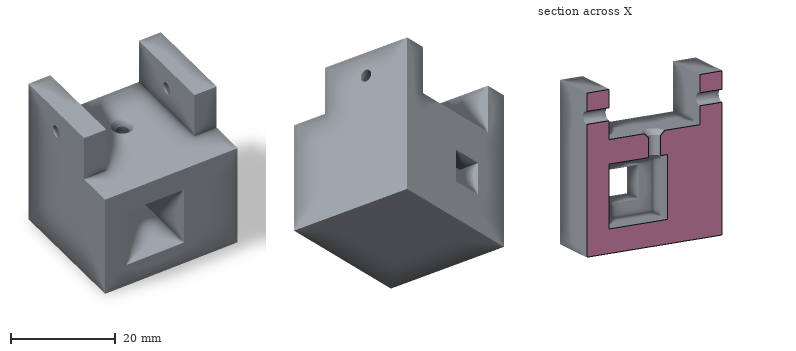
import cadquery as cq

length = 27.5
width = 30.0
overall_height = 32.84

arm_length = 20.0
arm_thickness = 5.0
arm_height = 10.0
block_height = overall_height - arm_height

bore_diameter = 2.5
pin_x = arm_length / 2
pin_z = overall_height - arm_height / 2

mouth_wall = 8.0
mouth_size = block_height - 2 * mouth_wall
mouth_depth = 4.5
pocket_wall = 5.0
pocket_size = block_height - 2 * pocket_wall
passage_y = -width / 2 + mouth_wall + mouth_size / 2
passage_z = block_height / 2

screw_x = arm_length / 2
screw_y = 0.0
countersink_diameter = 4.5
countersink_depth = (countersink_diameter - bore_diameter) / 2


def corner_box(size_x, size_y, size_z):
    """Box starting at X = 0 and Z = 0, centred on Y."""
    return cq.Workplane("XY").box(size_x, size_y, size_z, centered=(False, True, False))


def make_arms():
    arms = corner_box(arm_length, width, overall_height)
    gap = corner_box(arm_length, width - 2 * arm_thickness, overall_height)
    return arms.cut(gap)


def make_pin_hole():
    pin_plane = cq.Workplane("XZ", origin=(pin_x, width / 2, pin_z))
    return pin_plane.circle(bore_diameter / 2).extrude(width)


def square_bar(size, start_x, end_x):
    """Square bar on the passage axis between two X positions."""
    section = cq.Workplane("YZ", origin=(start_x, passage_y, passage_z))
    return section.rect(size, size).extrude(end_x - start_x)


def make_passage():
    mouth = square_bar(mouth_size, 0, mouth_depth)
    pocket = square_bar(pocket_size, mouth_depth, length)
    return mouth.union(pocket)


def make_screw_hole():
    top_plane = cq.Workplane("XY", origin=(screw_x, screw_y, block_height))
    bore = top_plane.circle(bore_diameter / 2).extrude(passage_z - block_height)
    cone = cq.Solid.makeCone(
        countersink_diameter / 2,
        bore_diameter / 2,
        countersink_depth,
        pnt=cq.Vector(screw_x, screw_y, block_height),
        dir=cq.Vector(0, 0, -1),
    )
    return bore.union(cq.Workplane(obj=cone))


block = corner_box(length, width, block_height)
result = block.union(make_arms())
result = result.cut(make_pin_hole())
result = result.cut(make_passage())
result = result.cut(make_screw_hole())